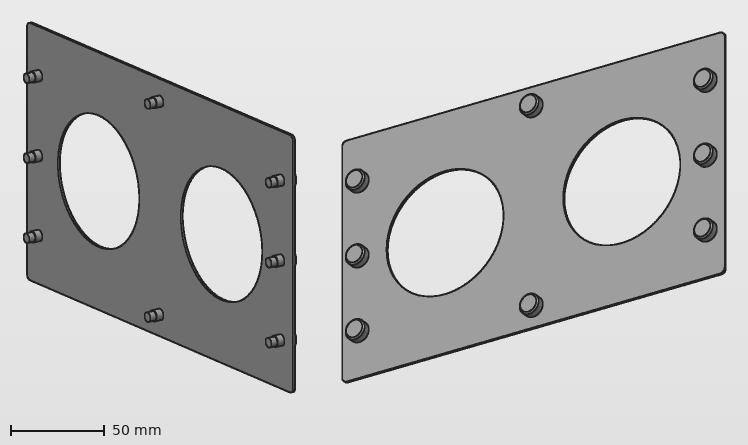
import cadquery as cq

plate_length = 242.0
plate_height = 145.0
plate_thickness = 1.5
corner_radius = 3.0
opening_diameter = 74.0
opening_offset = 56.0

side_screw_x = 110.0
side_screw_z = 45.0
middle_screw_z = 60.0

head_diameter = 12.0
head_height = 5.0
head_chamfer = 1.0
shank_diameter = 6.3
shank_projection = 4.4
tip_diameter = 5.3
tip_length = 3.9

front_y = -plate_thickness / 2
back_y = plate_thickness / 2

screw_positions = [(x, z) for x in (-side_screw_x, side_screw_x)
                   for z in (-side_screw_z, 0, side_screw_z)]
screw_positions += [(0, -middle_screw_z), (0, middle_screw_z)]


def make_plate():
    """Rounded sheet with two large openings and a fitted hole for each screw."""
    sheet = (cq.Workplane("XY")
             .box(plate_length, plate_thickness, plate_height)
             .edges("|Y")
             .fillet(corner_radius))
    openings = (cq.Workplane("XZ", origin=(0, back_y, 0))
                .pushPoints([(-opening_offset, 0), (opening_offset, 0)])
                .circle(opening_diameter / 2)
                .extrude(plate_thickness))
    screw_holes = (cq.Workplane("XZ", origin=(0, back_y, 0))
                   .pushPoints(screw_positions)
                   .circle(shank_diameter / 2)
                   .extrude(plate_thickness))
    return sheet.cut(openings).cut(screw_holes)


def make_screw(x, z):
    """Screw through the plate, turned about an axis along Y at the given X and Z."""
    head_radius = head_diameter / 2
    shank_radius = shank_diameter / 2
    tip_radius = tip_diameter / 2
    head_top_y = back_y + head_height
    shank_end_y = front_y - shank_projection
    tip_end_y = shank_end_y - tip_length
    half_profile = [
        (0, head_top_y),
        (-(head_radius - head_chamfer), head_top_y),
        (-head_radius, head_top_y - head_chamfer),
        (-head_radius, back_y),
        (-shank_radius, back_y),
        (-shank_radius, shank_end_y),
        (-tip_radius, shank_end_y),
        (-tip_radius, tip_end_y),
        (0, tip_end_y),
    ]
    return (cq.Workplane("XY")
            .polyline(half_profile)
            .close()
            .revolve(360, (0, 0, 0), (0, 1, 0))
            .translate((x, 0, z)))


plate = make_plate()
screws = [make_screw(x, z) for x, z in screw_positions]

result = cq.Compound.makeCompound([plate.val(), *[screw.val() for screw in screws]])